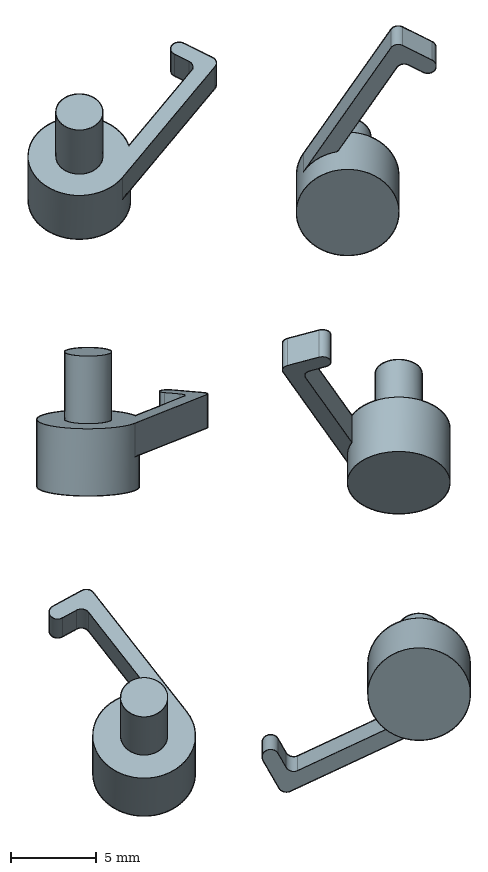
import cadquery as cq

total_length = 13.5
total_height = 8.0
body_diameter = 6.0
body_height = 4.0
pin_diameter = 2.75
arm_thickness = 1.0
arm_height = 2.0
bend_radius = 0.5

body_radius = body_diameter / 2
arm_outer_x = body_radius
arm_inner_x = arm_outer_x - arm_thickness
hook_outer_y = total_length - body_radius
hook_inner_y = hook_outer_y - arm_thickness
hook_tip_x = 0.0
tip_radius = arm_thickness / 2
arm_bottom_z = body_height - arm_height


def make_body():
    return cq.Workplane("XY").circle(body_radius).extrude(body_height)


def make_pin():
    """Round pin standing on the body, reaching the full height."""
    return (
        cq.Workplane("XY", origin=(0, 0, body_height))
        .circle(pin_diameter / 2)
        .extrude(total_height - body_height)
    )


def make_hooked_arm():
    """Arm tangent to the body's +X side, bent toward -X into a round-tipped hook."""
    arm = (
        cq.Workplane("XY", origin=(0, 0, arm_bottom_z))
        .moveTo(arm_inner_x, 0)
        .lineTo(arm_outer_x, 0)
        .lineTo(arm_outer_x, hook_outer_y)
        .lineTo(hook_tip_x + tip_radius, hook_outer_y)
        .threePointArc(
            (hook_tip_x, hook_outer_y - tip_radius),
            (hook_tip_x + tip_radius, hook_inner_y),
        )
        .lineTo(arm_inner_x, hook_inner_y)
        .close()
        .extrude(arm_height)
    )
    mid_z = arm_bottom_z + arm_height / 2
    for corner in [(arm_outer_x, hook_outer_y, mid_z), (arm_inner_x, hook_inner_y, mid_z)]:
        arm = arm.edges(cq.NearestToPointSelector(corner)).fillet(bend_radius)
    return arm


result = make_body().union(make_pin()).union(make_hooked_arm())